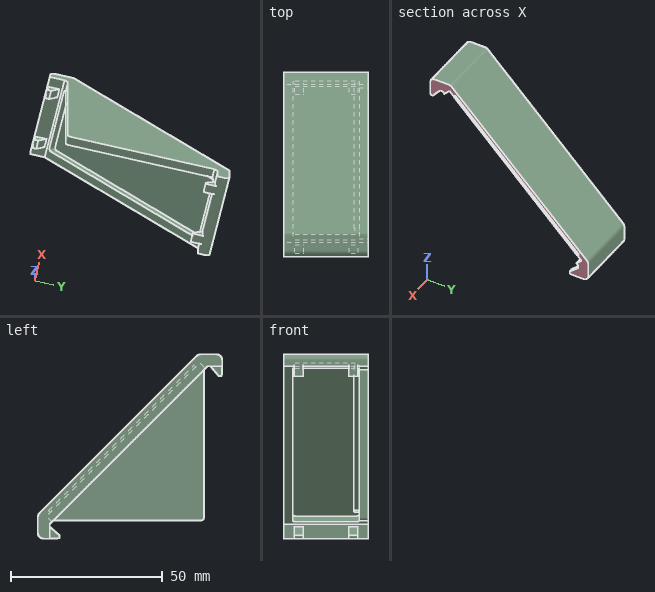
import cadquery as cq
import math

width = 28.0
size = 60.9
half = size / 2

plate_thickness = 5.0
lip_thickness = 4.0
lip_reach = 4.9
outer_fillet = 2.0
lip_edge_fillet = 0.3

web_thickness = 3.0
web_setback = 6.0
web_corner_fillet = 1.0

hook_width = 3.0
hook_side_margin = 3.5
hook_base = 3.95
hook_tip = 1.15
hook_height = 3.2
hook_fillet = 0.5
hook_setback = 0.1
hook_root = 0.6

pocket_side_margin = 3.0
pocket_end_margin = 1.0
pocket_depth = 2.75
pocket_fillet = 1.0

slot_width = 1.8
slot_end_margin = 1.8
slot_depth = 0.8
slot_fillet = 0.5

lip_inner = half - lip_thickness
inner_corner = -half + lip_reach
inner_sum = lip_inner + inner_corner
outer_sum = inner_sum + plate_thickness * math.sqrt(2)
inner_face_length = (lip_inner - inner_corner) * math.sqrt(2)


def side_prism(points, x_start, length):
    """Extrude a (y, z) outline along +X."""
    return cq.Workplane("YZ").polyline(points).close().extrude(length).translate((x_start, 0, 0))


def fillet_x_edge(body, y, z, radius):
    """Round the edge along X that passes through (y, z)."""
    x_middle = body.val().Center().x
    edge = cq.selectors.NearestToPointSelector((x_middle, y, z))
    return body.edges("|X").edges(edge).fillet(radius)


def make_plate():
    outline = [
        (-half, half),
        (outer_sum - half, half),
        (half, outer_sum - half),
        (half, -half),
        (lip_inner, -half),
        (lip_inner, inner_corner),
        (inner_corner, lip_inner),
        (-half, lip_inner),
    ]
    plate = side_prism(outline, -width / 2, width)
    for y, z in outline[:4]:
        plate = fillet_x_edge(plate, y, z, outer_fillet)
    for y, z in [(lip_inner, -half), (-half, lip_inner)]:
        plate = fillet_x_edge(plate, y, z, lip_edge_fillet)
    return plate


def make_web():
    edge = -half + web_setback
    slope_end = inner_sum - edge
    web = side_prism(
        [(edge, edge), (slope_end, edge), (edge, slope_end)],
        width / 2 - web_thickness,
        web_thickness,
    )
    return fillet_x_edge(web, edge, edge, web_corner_fillet)


def make_hook(x_start, lower):
    """Hook under the upper lip, or with y and z exchanged on the lower lip."""
    tip = lip_inner - hook_height
    outline = [
        (-half, lip_inner + hook_root),
        (-half, lip_inner),
        (-half + hook_setback, tip),
        (-half + hook_tip, tip),
        (-half + hook_base, lip_inner),
        (-half + hook_base, lip_inner + hook_root),
    ]
    corner = outline[2]
    if lower:
        outline = [(z, y) for y, z in outline]
        corner = corner[::-1]
    hook = side_prism(outline, x_start, hook_width)
    return fillet_x_edge(hook, corner[0], corner[1], hook_fillet)


def make_recess(x_min, x_max, length, floor_depth, corner_fillet):
    """Rounded box cut from the inner face down to floor_depth, centred along the slope."""
    return (
        cq.Workplane(inner_face)
        .center((x_min + x_max) / 2, 0)
        .rect(x_max - x_min, length)
        .extrude(floor_depth)
        .edges("|(0, 1, 1)")
        .fillet(corner_fillet)
    )


inner_face = cq.Plane(origin=(0, inner_sum / 2, inner_sum / 2), xDir=(1, 0, 0), normal=(0, 1, 1))

pocket_x_max = width / 2 - pocket_side_margin
pocket_length = inner_face_length - 2 * pocket_end_margin
pocket = make_recess(-pocket_x_max, pocket_x_max, pocket_length, pocket_depth, pocket_fillet)

slot_length = pocket_length - 2 * slot_end_margin
slot = make_recess(
    pocket_x_max - slot_width, pocket_x_max, slot_length, pocket_depth + slot_depth, slot_fillet
)

result = make_plate().union(make_web()).cut(pocket).cut(slot)

hook_x_left = -width / 2 + hook_side_margin
hook_x_right = width / 2 - hook_side_margin - hook_width
for hook_x in (hook_x_left, hook_x_right):
    for on_lower_lip in (False, True):
        result = result.union(make_hook(hook_x, on_lower_lip))